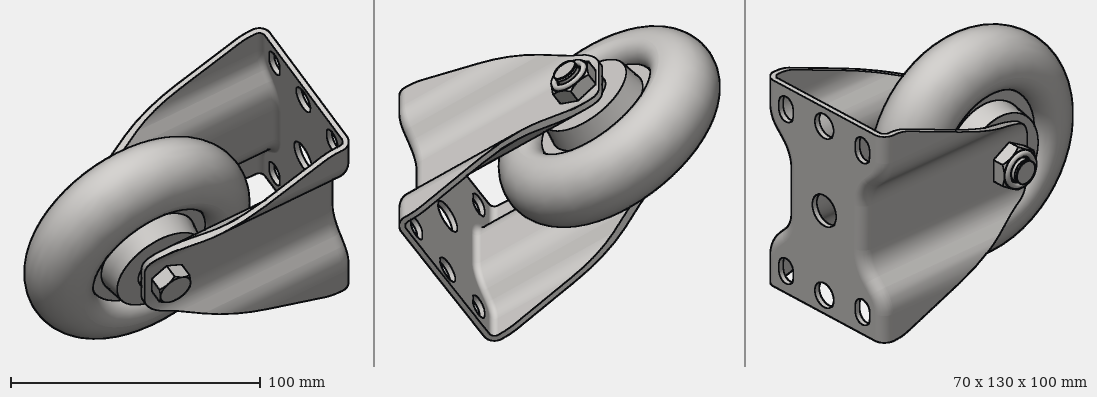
import cadquery as cq
import math


overall_length = 130.0
wheel_diameter = 100.0
wheel_radius = wheel_diameter / 2
plate_back_y = overall_length - wheel_radius

plate_width = 70.0
plate_height = 95.0
sheet = 2.5
plate_bend_radius = 5.1

cheek_half_width = 22.5
joggle_start_z = 35.1
joggle_radius = 15.1
joggle_angle = math.radians(45)

cheek_reach = 90.0
taper_start = 9.9
nose_corner_z = 15.3
taper_radius = 20.0
nose_radius = 10.0

slot_width = 8.3
slot_height = 11.6
slot_x = 22.5
slot_z = 37.3
center_hole_diameter = 14.0
outer_hole_diameter = 11.0
outer_hole_z = 39.0

tread_half_width = 16.0
shoulder_radius = 34.3
rim_radius = 7.5
web_half_width = tread_half_width - rim_radius
hub_half_width = 18.0
hub_face_radius = 20.0
hub_foot_radius = 21.7
spacer_radius = 10.1

nut_flats = 17.0
nut_hex_length = 6.4
nut_collar_radius = 8.3
nut_collar_length = 1.7
nut_edge_drop = 1.0
nut_bore_radius = 5.7
bolt_end_x = 32.6
thread_radius = 5.1
thread_depth = 0.8
thread_pitch = 1.0
thread_tip_land = 0.4
head_flats = 14.0
head_length = 6.9
head_edge_drop = 0.8
head_gap = 0.6

cheek_inner_x = cheek_half_width - sheet
trim_allowance = 6.5


def cheek_contour(inset):
    """Closed front contour of both cheeks, moved inwards by inset and open-ended in Z."""
    end_z = plate_height / 2 + trim_allowance
    wide_x = plate_width / 2 - inset
    narrow_x = cheek_half_width - inset
    convex = joggle_radius - inset
    concave = joggle_radius + inset
    step = plate_width / 2 - cheek_half_width
    ramp_x = step - 2 * joggle_radius * (1 - math.cos(joggle_angle))
    ramp_z = ramp_x / math.tan(joggle_angle)
    joggle_end_z = joggle_start_z - ramp_z - 2 * joggle_radius * math.sin(joggle_angle)

    def convex_point(angle):
        return (wide_x - convex * (1 - math.cos(angle)), joggle_start_z - convex * math.sin(angle))

    def concave_point(angle):
        return (narrow_x + concave * (1 - math.cos(angle)), joggle_end_z + concave * math.sin(angle))

    half = joggle_angle / 2
    joggle = [
        convex_point(0),
        convex_point(half),
        convex_point(joggle_angle),
        concave_point(joggle_angle),
        concave_point(half),
        concave_point(0),
    ]

    def add_joggle(path, points):
        start, first_mid, ramp_start, ramp_end, second_mid, end = points
        path = path.lineTo(*start).threePointArc(first_mid, ramp_start)
        return path.lineTo(*ramp_end).threePointArc(second_mid, end)

    path = cq.Workplane("XZ", origin=(0, plate_back_y - inset, 0)).moveTo(wide_x, end_z)
    path = add_joggle(path, joggle)
    path = add_joggle(path, [(x, -z) for x, z in reversed(joggle)])
    path = path.lineTo(wide_x, -end_z).lineTo(-wide_x, -end_z)
    path = add_joggle(path, [(-x, -z) for x, z in joggle])
    path = add_joggle(path, [(-x, z) for x, z in reversed(joggle)])
    return path.lineTo(-wide_x, end_z).close()


def bent_block(inset):
    """Block inside the cheek contour, with its plate end rounded like the sheet bend."""
    block = cheek_contour(inset).extrude(cheek_reach + trim_allowance)
    return block.faces(">Y").edges("not |X").fillet(plate_bend_radius - inset)


def make_fork():
    fork = bent_block(0).cut(bent_block(sheet))

    nose_y = plate_back_y - cheek_reach
    taper_y = plate_back_y - taper_start
    half_height = plate_height / 2
    outline = (
        cq.Workplane("YZ")
        .polyline([
            (plate_back_y, half_height),
            (taper_y, half_height),
            (nose_y, nose_corner_z),
            (nose_y, -nose_corner_z),
            (taper_y, -half_height),
            (plate_back_y, -half_height),
        ])
        .close()
        .extrude(plate_width, both=True)
    )
    outline = outline.edges("|X").edges(">>Y[-2]").fillet(taper_radius)
    outline = outline.edges("|X").edges("<Y").fillet(nose_radius)
    return fork.intersect(outline)


def make_plate_holes():
    back = cq.Workplane("XZ", origin=(0, plate_back_y, 0))
    slot_centers = [(x, z) for x in (-slot_x, slot_x) for z in (-slot_z, slot_z)]
    slots = back.pushPoints(slot_centers).slot2D(slot_height, slot_width, 90).extrude(sheet)
    outer_centers = [(0, outer_hole_z), (0, -outer_hole_z)]
    outer = back.pushPoints(outer_centers).circle(outer_hole_diameter / 2).extrude(sheet)
    center = back.circle(center_hole_diameter / 2).extrude(sheet)
    return slots.union(outer).union(center)


def make_wheel():
    """Wheel revolved about X, with a round tread, dished webs, a drafted hub and end spacers."""
    web_radius = shoulder_radius - rim_radius
    bulge = rim_radius * math.sqrt(0.5)
    rim_mid = (web_half_width + bulge, shoulder_radius - bulge)
    rim_mid_left = (-rim_mid[0], rim_mid[1])
    profile = (
        cq.Workplane("XY")
        .moveTo(-cheek_inner_x, 0)
        .lineTo(-cheek_inner_x, spacer_radius)
        .lineTo(-hub_half_width, spacer_radius)
        .lineTo(-hub_half_width, hub_face_radius)
        .lineTo(-web_half_width, hub_foot_radius)
        .lineTo(-web_half_width, web_radius)
        .threePointArc(rim_mid_left, (-tread_half_width, shoulder_radius))
        .threePointArc((0, wheel_radius), (tread_half_width, shoulder_radius))
        .threePointArc(rim_mid, (web_half_width, web_radius))
        .lineTo(web_half_width, hub_foot_radius)
        .lineTo(hub_half_width, hub_face_radius)
        .lineTo(hub_half_width, spacer_radius)
        .lineTo(cheek_inner_x, spacer_radius)
        .lineTo(cheek_inner_x, 0)
        .close()
    )
    return profile.revolve(360, (0, 0, 0), (1, 0, 0))


def make_hexagon(flats, start_x, length, edge_drop):
    """Hexagonal prism pointing along +X, corners at +-Z, its far corners turned down to the flats."""
    corner_radius = flats / 2 / math.cos(math.radians(30))
    end_x = start_x + length
    prism = (
        cq.Workplane("YZ", origin=(start_x, 0, 0))
        .polygon(6, 2 * corner_radius)
        .extrude(length)
        .rotate((0, 0, 0), (1, 0, 0), 90)
    )
    turned = (
        cq.Workplane("XY")
        .polyline([
            (start_x, 0),
            (start_x, corner_radius),
            (end_x - edge_drop, corner_radius),
            (end_x, flats / 2),
            (end_x, 0),
        ])
        .close()
        .revolve(360, (0, 0, 0), (1, 0, 0))
    )
    return prism.intersect(turned)


def make_disc(start_x, length, radius):
    return cq.Workplane("YZ", origin=(start_x, 0, 0)).circle(radius).extrude(length)


def make_nut_end():
    """Lock nut with a domed collar and the protruding thread, on the -X cheek."""
    collar_x = cheek_half_width + nut_hex_length
    collar_middle_radius = (nut_collar_radius + nut_bore_radius) / 2
    dome_start_x = collar_x + nut_collar_length - (nut_collar_radius - nut_bore_radius) / 2
    hexagon = make_hexagon(nut_flats, cheek_half_width, nut_hex_length, nut_edge_drop)
    collar = (
        cq.Workplane("XY")
        .moveTo(collar_x, nut_bore_radius)
        .lineTo(dome_start_x, nut_bore_radius)
        .threePointArc(
            (collar_x + nut_collar_length, collar_middle_radius),
            (dome_start_x, nut_collar_radius),
        )
        .lineTo(collar_x, nut_collar_radius)
        .close()
        .revolve(360, (0, 0, 0), (1, 0, 0))
    )

    thread = make_disc(collar_x, bolt_end_x - collar_x, thread_radius)
    groove_x = bolt_end_x - thread_tip_land
    groove = (
        cq.Workplane("XY")
        .polyline([
            (groove_x, thread_radius),
            (groove_x - thread_pitch / 2, thread_radius - thread_depth),
            (groove_x - thread_pitch, thread_radius),
        ])
        .close()
        .revolve(360, (0, 0, 0), (1, 0, 0))
    )
    return hexagon.union(collar).union(thread.cut(groove)).mirror("YZ")


def make_head_end():
    """Hexagonal bolt head standing slightly off the +X cheek on the bolt shank."""
    shank = make_disc(cheek_half_width, head_gap, thread_radius)
    head = make_hexagon(head_flats, cheek_half_width + head_gap, head_length, head_edge_drop)
    return shank.union(head)


result = (
    make_fork()
    .cut(make_plate_holes())
    .union(make_wheel())
    .union(make_nut_end())
    .union(make_head_end())
)